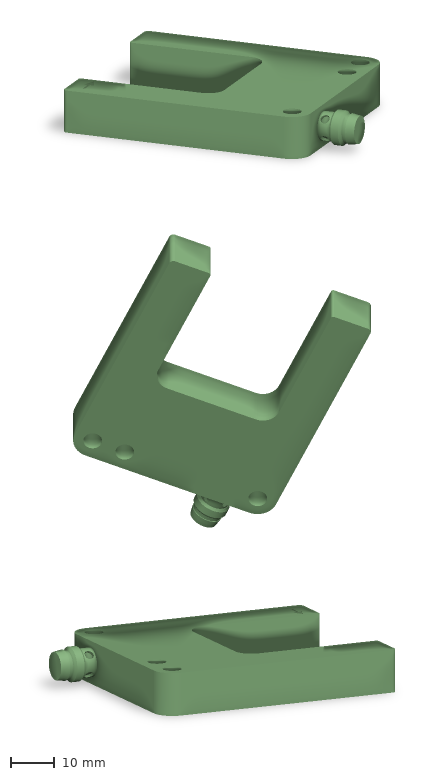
import cadquery as cq

total_length = 68.0
body_length = 59.0
body_width = 50.0
thickness = 10.0
arm_width = 10.0
slot_depth = 34.0
slot_corner_radius = 4.0
tip_corner_radius = 1.0
inner_tip_corner_radius = 0.55
back_corner_radius = 4.6

hole_diameter = 4.3
hole_inset = 4.5
hole_pair_spacing = 7.95

plug_y = 12.05
plug_length = total_length - body_length
neck_radius = 3.4
collar_radius = 4.1
collar_start = 3.0
collar_end = 6.0
collar_lead_in = 0.5
collar_shoulder_radius = 3.7
collar_chamfer = collar_radius - neck_radius
barb_start = 6.9
barb_radius = 3.6
tip_radius = 3.25

spanner_hole_count = 4
spanner_hole_diameter = 2.2
spanner_hole_offset = 1.5
spanner_floor_radius = 2.6
spanner_first_angle = 45

arrow_x = 4.0
arrow_tail_y = 2.9
arrow_head_y = 5.9
arrow_tip_y = 8.9
arrow_head_half_width = 1.2
arrow_shaft_half_width = 0.3
arrow_depth = 0.15


def make_body():
    """U-shaped plate with rounded vertical edges."""
    plate = cq.Workplane("XY").box(body_length, body_width, thickness, centered=False)
    plate = plate.edges("|Z and >X").fillet(back_corner_radius)
    slot = (
        cq.Workplane("XY")
        .center(0, arm_width)
        .box(slot_depth, body_width - 2 * arm_width, thickness, centered=False)
        .edges("|Z and >X")
        .fillet(slot_corner_radius)
    )
    plate = plate.edges("|Z and <X").fillet(tip_corner_radius)
    fork = plate.cut(slot)
    return fork.edges("|Z and <X").fillet(inner_tip_corner_radius)


def make_mounting_holes():
    """One hole in the front back corner, a pair in the rear back corner."""
    hole_x = body_length - hole_inset
    rear_y = body_width - hole_inset
    centers = [(hole_x, y) for y in (hole_inset, rear_y - hole_pair_spacing, rear_y)]
    return cq.Workplane("XY").pushPoints(centers).circle(hole_diameter / 2).extrude(thickness)


def make_plug():
    """Turned plug with collar, barb and spanner holes, its axis along X from the origin."""
    plug = (
        cq.Workplane("XY")
        .lineTo(0, neck_radius)
        .lineTo(collar_start, neck_radius)
        .lineTo(collar_start, collar_shoulder_radius)
        .lineTo(collar_start + collar_lead_in, collar_radius)
        .lineTo(collar_end - collar_chamfer, collar_radius)
        .lineTo(collar_end, neck_radius)
        .lineTo(barb_start, neck_radius)
        .lineTo(barb_start, barb_radius)
        .lineTo(plug_length, tip_radius)
        .lineTo(plug_length, 0)
        .close()
        .revolve(360, (0, 0, 0), (1, 0, 0))
    )
    spanner_hole = (
        cq.Workplane("XY", origin=(spanner_hole_offset, 0, spanner_floor_radius))
        .circle(spanner_hole_diameter / 2)
        .extrude(neck_radius)
    )
    for index in range(spanner_hole_count):
        angle = spanner_first_angle + index * 360 / spanner_hole_count
        plug = plug.cut(spanner_hole.rotate((0, 0, 0), (1, 0, 0), angle))
    return plug


def make_arrow():
    """Shallow arrow cutter reaching down from the top face."""
    right_side = [
        (arrow_shaft_half_width, arrow_tail_y),
        (arrow_shaft_half_width, arrow_head_y),
        (arrow_head_half_width, arrow_head_y),
    ]
    left_side = [(-x, y) for x, y in reversed(right_side)]
    return (
        cq.Workplane("XY", origin=(arrow_x, 0, thickness))
        .polyline(right_side + [(0, arrow_tip_y)] + left_side)
        .close()
        .extrude(-arrow_depth)
    )


plug = make_plug().translate((body_length, plug_y, thickness / 2))
result = make_body().cut(make_mounting_holes()).cut(make_arrow()).union(plug)